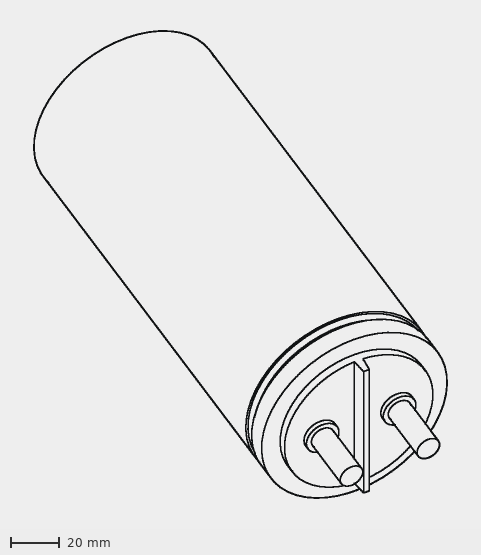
import cadquery as cq

can_diameter = 85.5
can_length = 202.0
can_radius = can_diameter / 2

groove_start = 188.0
groove_bottom = 190.4
groove_end = 193.2
groove_step = 1.0
groove_depth = 2.4
groove_flank_sag = 0.5

stud_diameter = 12.0
stud_length = 16.0

cover_diameter = 68.4
cover_thickness = 3.8
cover_face = can_length + cover_thickness

wall_thickness = 4.0
wall_height = 6.9
wall_tip_thickness = 2.6

terminal_spacing = 35.4
terminal_diameter = 10.4
collar_diameter = 15.0
collar_thickness = 2.2
overall_length = 249.5
terminal_length = overall_length - stud_length - cover_face


def rod(diameter, start, length, y=0.0):
    """Cylinder along +X from x = start, its axis offset by y."""
    section = cq.Workplane("XZ", origin=(start, y, 0)).rect(length, diameter / 2, centered=False)
    return section.revolve(360, (0, 0, 0), (1, 0, 0))


def make_can():
    """Cylinder with a rolled groove: a step, a slope and a concave flank."""
    flank_middle = (
        (groove_bottom + groove_end) / 2 + groove_flank_sag,
        can_radius - groove_depth / 2 - groove_flank_sag,
    )
    profile = (
        cq.Workplane("XZ")
        .lineTo(0, can_radius)
        .lineTo(groove_start, can_radius)
        .lineTo(groove_start, can_radius - groove_step)
        .lineTo(groove_bottom, can_radius - groove_depth)
        .threePointArc(flank_middle, (groove_end, can_radius))
        .lineTo(can_length, can_radius)
        .lineTo(can_length, 0)
        .close()
    )
    return profile.revolve(360, (0, 0, 0), (1, 0, 0))


def make_wall():
    """Wall tapering toward its tip, its ends following the rim of the cover."""
    tip = cover_face + wall_height
    profile = [
        (cover_face, -wall_thickness / 2),
        (cover_face, wall_thickness / 2),
        (tip, wall_tip_thickness / 2),
        (tip, -wall_tip_thickness / 2),
    ]
    wall = cq.Workplane("XY").polyline(profile).close().extrude(cover_diameter / 2, both=True)
    return wall.intersect(rod(cover_diameter, cover_face, wall_height))


def make_terminal(y):
    """Pin and collar standing on the cover at the given y."""
    collar = rod(collar_diameter, cover_face, collar_thickness, y)
    pin = rod(terminal_diameter, cover_face, terminal_length, y)
    return collar.union(pin)


result = make_can()
result = result.union(rod(stud_diameter, -stud_length, stud_length))
result = result.union(rod(cover_diameter, can_length, cover_thickness))
result = result.union(make_wall())
for side in (-1, 1):
    result = result.union(make_terminal(side * terminal_spacing / 2))